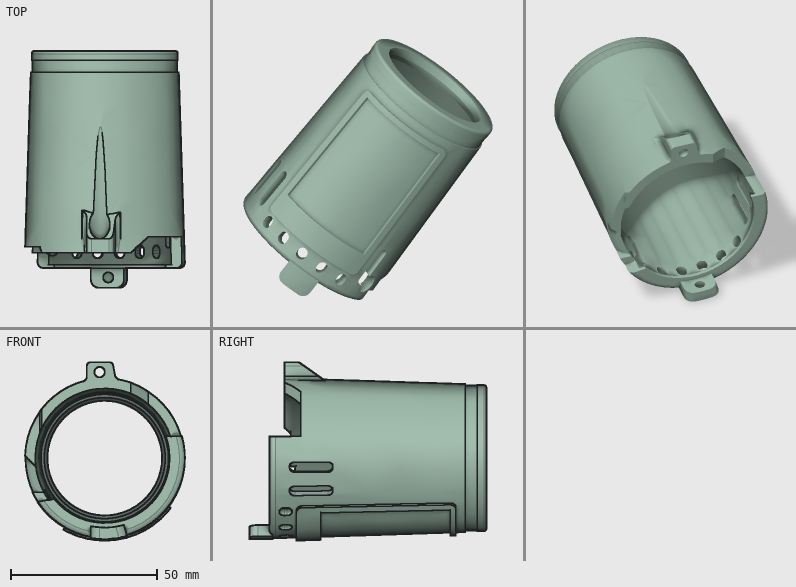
import cadquery as cq
import math


NECK_RING_DEPTH = 3.2
NECK_END = 7.3
TOP_END = 69.2
RIM_END = 74.4
RIM_EDGE_RADIUS = 2.0
TAPER_END = RIM_END - RIM_EDGE_RADIUS
NECK_RING_RADIUS = 25.05
NECK_RADIUS = 49.75 / 2
TAPER_START_RADIUS = 25.4
FRONT_RADIUS = 27.5
RING_EDGE_RADIUS = 1.0

MOUTH_RADIUS = 48 / 2
BORE_REAR_RADIUS = 21.85
FLANGE_RADIUS = 20.75
THROAT_RADIUS = 19.6
FLANGE_DEPTH = 5.0
THROAT_DEPTH = 3.0
RIM_LIP_RADIUS = 22.25
RIM_LIP_LENGTH = 1.2

CUT_REACH = 40.0
RIM_RIGHT_Z = 7.45
RIM_LEFT_INNER_X = -17.7
RIM_LEFT_INNER_Z = -14.05
RIM_LEFT_SLOPE = 10.0
RIGHT_NOTCH_DEPTH = 63.7
RIGHT_NOTCH_START_X = 8.9
RIGHT_NOTCH_FLOOR_X = 14.9
LEFT_STEP_DEPTH = 67.1
LEFT_STEP_REAR_X = -22.3
LEFT_STEP_FRONT_X = -21.5
LEFT_STEP_BOTTOM_Z = -6.0
BEVEL_OUTER_DEPTH = 61.6
BEVEL_BOTTOM_Z = -11.7
BEVEL_TOP_Z = 1.0
BEVEL_INNER_X = -18.0
BEVEL_OUTER_X = -32.0

TAB_HOLE_X = -1.75
TAB_HOLE_Z = 29.45
TAB_HOLE_DIAMETER = 3.5
ACCESS_DIAMETER = 7.0
TAB_TOP_Z = 32.9
TAB_BASE_Z = 24.5
TAB_LEFT_X = -6.2
TAB_TOP_RIGHT_X = 2.7
TAB_FOOT_RIGHT_X = 3.6
TAB_FOOT_LEFT_Z = 27.6
TAB_FOOT_RIGHT_Z = 28.1
TAB_FLARE_LEFT_X = -7.8
TAB_FLARE_RIGHT_X = 5.4
TAB_FLARE_LEFT_RADIUS = 2.0
TAB_FLARE_RIGHT_RADIUS = 2.5
TAB_CORNER_RADIUS = 1.5
TAB_BACK_DEPTH = 64.3
RAMP_START_DEPTH = 54.6
RAMP_START_Z = 26.0

LOWER_TAB_END = 81.21
LOWER_TAB_START = RIM_END - RIM_LIP_LENGTH
LOWER_TAB_INNER_RADIUS = 23.8
LOWER_TAB_OUTER_RADIUS = 27.75
LOWER_TAB_LEFT_X = -4.8
LOWER_TAB_RIGHT_ANGLE = 16.0
LOWER_TAB_CORNER_RADIUS = 2.9
LOWER_TAB_HOLE_X = 1.2
LOWER_TAB_HOLE_DEPTH = 77.6
LOWER_TAB_HOLE_FLOOR_Z = -26.5

OPENING_WIDTH = 3.5
OPENING_PITCH_ANGLE = 17.8
VENT_LENGTH = 4.4
VENT_DEPTH = 68.8
VENT_START = VENT_DEPTH - VENT_LENGTH / 2
VENT_END = VENT_DEPTH + VENT_LENGTH / 2
VENT_STEPS = range(-1, 4)
OPENING_ORIGIN_ANGLE = -5.6
SLOT_START = 52.6
SLOT_END = 67.5
SLOT_STEPS = (-2, 4, 5)
LARGE_HOLE_DIAMETER = 7.0
LARGE_HOLE_DEPTH = 66.7
LARGE_HOLE_ANGLE = -48.5

FRAME_HEIGHT = 1.05
FRAME_ROOT = 1.0
FRAME_START = 10.5
FRAME_END = 65.1
FRAME_REAR_BAND = 1.9
FRAME_FRONT_BAND = 8.3
FRAME_LEFT_ANGLE = -30.0
FRAME_RIGHT_ANGLE = 53.0
FRAME_SIDE_ANGLE = 5.0
FRAME_CORNER_RADIUS = 2.0


def outer_radius(depth):
    """Radius of the tapered outside of the shell at a depth."""
    share = (depth - NECK_END) / (TAPER_END - NECK_END)
    return TAPER_START_RADIUS + share * (FRONT_RADIUS - TAPER_START_RADIUS)


def circle_height(radius, x):
    """Height above the axis of a circle about it, at a sideways position."""
    return math.sqrt(radius**2 - x**2)


def point_at_angle(radius, angle):
    """X and Z of a point at a radius and an angle from straight down."""
    turn = math.radians(angle)
    return (radius * math.sin(turn), -radius * math.cos(turn))


def prism_along_depth(outline, start, end):
    """Closed X-Z outline extruded between two depths."""
    return cq.Workplane("XZ", origin=(0, -start, 0)).polyline(outline).close().extrude(end - start)


def rod_along_depth(x, z, diameter, start, end):
    """Round rod parallel to the axis between two depths."""
    return cq.Workplane("XZ", origin=(x, -start, z)).circle(diameter / 2).extrude(end - start)


def turned(solid, angle):
    """Turn a solid from straight down to an angle about the shell's axis."""
    return solid.rotate((0, 0, 0), (0, 1, 0), -angle)


def make_shell():
    """Tapered shell with a stepped neck, a tapered bore and an inward lip round the rim."""
    bend = math.sqrt(0.5)
    rim_edge_inset = RIM_EDGE_RADIUS * (1 - bend)
    outside = (
        cq.Workplane("XY")
        .moveTo(THROAT_RADIUS, 0)
        .lineTo(NECK_RING_RADIUS - RING_EDGE_RADIUS, 0)
        .radiusArc((NECK_RING_RADIUS, -RING_EDGE_RADIUS), RING_EDGE_RADIUS)
        .lineTo(NECK_RING_RADIUS, -NECK_RING_DEPTH)
        .lineTo(NECK_RADIUS, -NECK_RING_DEPTH)
        .lineTo(NECK_RADIUS, -NECK_END)
        .lineTo(TAPER_START_RADIUS, -NECK_END)
        .lineTo(FRONT_RADIUS, -TAPER_END)
        .threePointArc(
            (FRONT_RADIUS - rim_edge_inset, -RIM_END + rim_edge_inset),
            (FRONT_RADIUS - RIM_EDGE_RADIUS, -RIM_END),
        )
        .lineTo(RIM_LIP_RADIUS, -RIM_END)
        .lineTo(RIM_LIP_RADIUS, -RIM_END + RIM_LIP_LENGTH)
        .lineTo(MOUTH_RADIUS, -RIM_END + RIM_LIP_LENGTH)
        .lineTo(BORE_REAR_RADIUS, -FLANGE_DEPTH)
        .lineTo(FLANGE_RADIUS, -FLANGE_DEPTH)
        .lineTo(THROAT_RADIUS, -THROAT_DEPTH)
        .close()
    )
    return outside.revolve(360, (0, 0), (0, 1))


def make_rim_cut():
    """Removes the rim everywhere but on the lower sector."""
    slope = math.tan(math.radians(RIM_LEFT_SLOPE))
    middle_z = RIM_LEFT_INNER_Z - slope * RIM_LEFT_INNER_X
    left_z = middle_z - slope * CUT_REACH
    outline = [
        (0, RIM_RIGHT_Z),
        (CUT_REACH, RIM_RIGHT_Z),
        (CUT_REACH, CUT_REACH),
        (-CUT_REACH, CUT_REACH),
        (-CUT_REACH, left_z),
        (0, middle_z),
    ]
    return prism_along_depth(outline, TOP_END, LOWER_TAB_END)


def make_right_notch():
    """Setback of the upper right front edge, entered by a slanted face."""
    outline = [
        (RIGHT_NOTCH_START_X, -TOP_END),
        (RIGHT_NOTCH_FLOOR_X, -RIGHT_NOTCH_DEPTH),
        (CUT_REACH, -RIGHT_NOTCH_DEPTH),
        (CUT_REACH, -TOP_END),
    ]
    notch = cq.Workplane("XY", origin=(0, 0, RIM_RIGHT_Z)).polyline(outline).close()
    return notch.extrude(CUT_REACH)


def make_left_step():
    """Shallow setback of the upper left front edge, with a slanted side."""
    outline = [
        (-CUT_REACH, -LEFT_STEP_DEPTH),
        (LEFT_STEP_REAR_X, -LEFT_STEP_DEPTH),
        (LEFT_STEP_FRONT_X, -TOP_END),
        (-CUT_REACH, -TOP_END),
    ]
    step = cq.Workplane("XY", origin=(0, 0, LEFT_STEP_BOTTOM_Z)).polyline(outline).close()
    return step.extrude(CUT_REACH)


def make_left_bevel():
    """Notch in the left front edge with a 45 degree floor and a 45 degree upper side."""
    floor_run = TOP_END - BEVEL_OUTER_DEPTH
    floor = [
        (-FRONT_RADIUS, -BEVEL_OUTER_DEPTH),
        (-FRONT_RADIUS + floor_run, -TOP_END),
        (-CUT_REACH, -TOP_END),
        (-CUT_REACH, -BEVEL_OUTER_DEPTH),
    ]
    floor_cut = cq.Workplane("XY", origin=(0, 0, -CUT_REACH)).polyline(floor).close()
    sides = [
        (BEVEL_OUTER_X, BEVEL_BOTTOM_Z),
        (BEVEL_OUTER_X, BEVEL_TOP_Z - (FRONT_RADIUS + BEVEL_OUTER_X)),
        (BEVEL_INNER_X, BEVEL_TOP_Z - (FRONT_RADIUS + BEVEL_INNER_X)),
        (BEVEL_INNER_X, BEVEL_BOTTOM_Z),
    ]
    side_cut = prism_along_depth(sides, BEVEL_OUTER_DEPTH, TOP_END)
    return floor_cut.extrude(2 * CUT_REACH).intersect(side_cut)


def make_upper_tab():
    """Tab standing on the top front edge, with a ramp rising to it from the shell."""
    shell_radius = outer_radius(TAB_BACK_DEPTH)
    flare_left = (TAB_FLARE_LEFT_X, circle_height(shell_radius, TAB_FLARE_LEFT_X))
    flare_right = (TAB_FLARE_RIGHT_X, circle_height(shell_radius, TAB_FLARE_RIGHT_X))
    tab = (
        cq.Workplane("XZ", origin=(0, -RAMP_START_DEPTH, 0))
        .moveTo(TAB_LEFT_X, TAB_BASE_Z)
        .lineTo(*flare_left)
        .radiusArc((TAB_LEFT_X, TAB_FOOT_LEFT_Z), -TAB_FLARE_LEFT_RADIUS)
        .lineTo(TAB_LEFT_X, TAB_TOP_Z)
        .lineTo(TAB_TOP_RIGHT_X, TAB_TOP_Z)
        .lineTo(TAB_FOOT_RIGHT_X, TAB_FOOT_RIGHT_Z)
        .radiusArc(flare_right, -TAB_FLARE_RIGHT_RADIUS)
        .lineTo(TAB_FOOT_RIGHT_X, TAB_BASE_Z)
        .close()
        .extrude(TOP_END - RAMP_START_DEPTH)
    )
    tab = tab.edges("|Y").edges(">Z").fillet(TAB_CORNER_RADIUS)
    above_ramp = [
        (-RAMP_START_DEPTH, RAMP_START_Z),
        (-TAB_BACK_DEPTH, TAB_TOP_Z),
        (-TAB_BACK_DEPTH, CUT_REACH),
        (-RAMP_START_DEPTH, CUT_REACH),
    ]
    ramp_cut = cq.Workplane("YZ", origin=(-CUT_REACH, 0, 0)).polyline(above_ramp).close()
    return tab.cut(ramp_cut.extrude(2 * CUT_REACH))


def make_lower_tab():
    """Curved tab that continues the bottom of the rim forward."""
    inner_left = (LOWER_TAB_LEFT_X, -circle_height(LOWER_TAB_INNER_RADIUS, LOWER_TAB_LEFT_X))
    outer_left = (LOWER_TAB_LEFT_X, -circle_height(LOWER_TAB_OUTER_RADIUS, LOWER_TAB_LEFT_X))
    inner_right = point_at_angle(LOWER_TAB_INNER_RADIUS, LOWER_TAB_RIGHT_ANGLE)
    outer_right = point_at_angle(LOWER_TAB_OUTER_RADIUS, LOWER_TAB_RIGHT_ANGLE)
    tab = (
        cq.Workplane("XZ", origin=(0, -LOWER_TAB_START, 0))
        .moveTo(*inner_left)
        .lineTo(*outer_left)
        .threePointArc((0, -LOWER_TAB_OUTER_RADIUS), outer_right)
        .lineTo(*inner_right)
        .threePointArc((0, -LOWER_TAB_INNER_RADIUS), inner_left)
        .close()
        .extrude(LOWER_TAB_END - LOWER_TAB_START)
    )
    tab = tab.faces("<Y").edges("%LINE").fillet(LOWER_TAB_CORNER_RADIUS)
    hole = (
        cq.Workplane("XY", origin=(LOWER_TAB_HOLE_X, -LOWER_TAB_HOLE_DEPTH, LOWER_TAB_HOLE_FLOOR_Z))
        .circle(TAB_HOLE_DIAMETER / 2)
        .extrude(LOWER_TAB_INNER_RADIUS)
    )
    return tab.cut(hole)


def make_wall_opening(start, end, step):
    """Radial opening with round ends, a number of pitch steps round from the vent nearest straight down."""
    middle = (start + end) / 2
    profile = cq.Workplane("XY", origin=(0, -middle, -CUT_REACH)).slot2D(end - start, OPENING_WIDTH, 90)
    return turned(profile.extrude(CUT_REACH), OPENING_ORIGIN_ANGLE + step * OPENING_PITCH_ANGLE)


def make_large_hole():
    """Radial hole that runs into the front end of the left slot."""
    profile = cq.Workplane("XY", origin=(0, -LARGE_HOLE_DEPTH, -CUT_REACH)).circle(LARGE_HOLE_DIAMETER / 2)
    return turned(profile.extrude(CUT_REACH), LARGE_HOLE_ANGLE)


def make_skin(start, end, left_angle, right_angle):
    """Layer of the frame's height over part of the shell's outside."""
    outline = [
        (-outer_radius(start) + FRAME_ROOT, -start),
        (-outer_radius(start) - FRAME_HEIGHT, -start),
        (-outer_radius(end) - FRAME_HEIGHT, -end),
        (-outer_radius(end) + FRAME_ROOT, -end),
    ]
    profile = cq.Workplane("ZY").polyline(outline).close()
    skin = profile.revolve(right_angle - left_angle, (0, 0), (0, -1))
    return turned(skin, left_angle)


def make_label_frame():
    """Raised frame, wider across its front, with one window."""
    frame = make_skin(FRAME_START, FRAME_END, FRAME_LEFT_ANGLE, FRAME_RIGHT_ANGLE)
    thickness = FRAME_HEIGHT + FRAME_ROOT
    corners = frame.edges().filter(lambda edge: edge.Length() < 2 * thickness)
    frame = corners.fillet(FRAME_CORNER_RADIUS)
    window_left = FRAME_LEFT_ANGLE + FRAME_SIDE_ANGLE
    window_right = FRAME_RIGHT_ANGLE - FRAME_SIDE_ANGLE
    window = make_skin(
        FRAME_START + FRAME_REAR_BAND, FRAME_END - FRAME_FRONT_BAND, window_left, window_right
    )
    return frame.cut(window)


body = make_shell()
body = body.cut(make_rim_cut())
body = body.cut(make_right_notch())
body = body.cut(make_left_step())
body = body.cut(make_left_bevel())
body = body.union(make_upper_tab())
body = body.union(make_lower_tab())
body = body.union(make_label_frame())

body = body.cut(rod_along_depth(TAB_HOLE_X, TAB_HOLE_Z, ACCESS_DIAMETER, 0, TAB_BACK_DEPTH))
body = body.cut(rod_along_depth(TAB_HOLE_X, TAB_HOLE_Z, TAB_HOLE_DIAMETER, TAB_BACK_DEPTH, TOP_END))
for vent_step in VENT_STEPS:
    body = body.cut(make_wall_opening(VENT_START, VENT_END, vent_step))
for slot_step in SLOT_STEPS:
    body = body.cut(make_wall_opening(SLOT_START, SLOT_END, slot_step))
body = body.cut(make_large_hole())

result = body.clean()